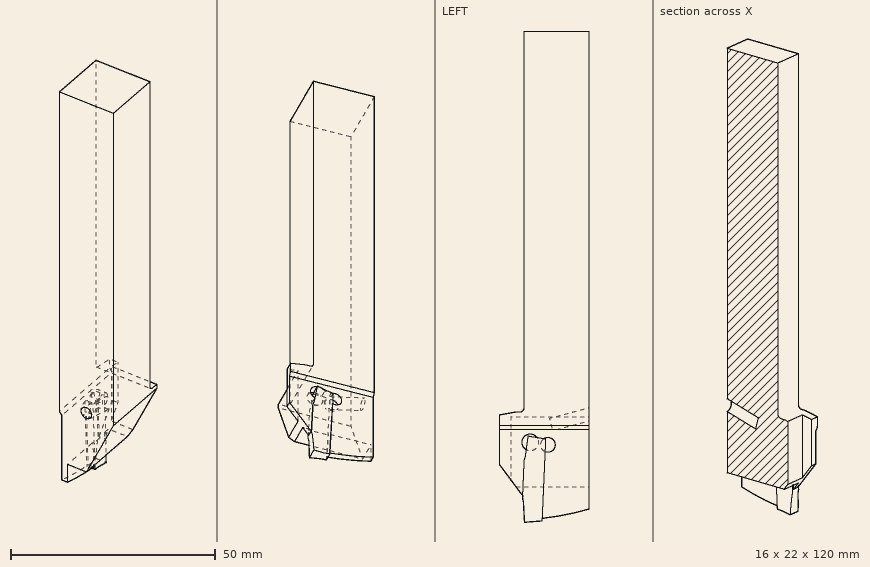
import cadquery as cq
import math

LENGTH = 120.0
SHANK_SIDE = 16.0
DEPTH = 22.0
LEDGE_Y = 19.1
LEDGE_Z = 27.0
LEDGE_FLAT_Y = 18.0
LEDGE_DROP = 0.7
LEDGE_FILLET = 1.0
BODY_BOTTOM_Z = 8.6
BODY_BOTTOM_X = 8.0
SLOPE_TOP_Z = 25.8

BLADE_X = 2.4
STEP_DEPTH = 0.7
STEP_TOP_Z = 23.6
STEP_BOTTOM_Z = 22.7
BLADE_BACK_Z = 14.2
JAW_TIP_Y = 16.7
JAW_TIP_Z = 7.1
BLADE_FRONT_Z = 3.2
BLADE_ARC_MID = (5.4, 1.9)
SEAT_TIP = (11.5, 1.0)

INSERT_LENGTH = 21.1
INSERT_TILT = 2.5
TIP_Y = 15.8
HEAD_WIDTH = 3.1
INSERT_WIDTH = 2.4
SEAT_OFFSET = 4.3
CLAMP_OFFSET = 0.7
HEAD_LENGTH = 5.0
RAKE_RISE = 0.5
NOTCH_LENGTH = 5.9
END_RELIEF = 7.0
HEAD_DEPTH_TIP = 2.6
HEAD_DEPTH_BACK = 1.5
HEAD_BACK_WIDTH = 2.6
HEAD_SHOULDER = 4.0

RELIEFS = [(14.4, 19.5, 2.0), (10.1, 19.0, 1.8)]

HOLE_X = SHANK_SIDE / 2
HOLE_Z = 26.4
HOLE_RADIUS = 1.5
HOLE_TILT = 15.0
HOLE_DEPTH = 9.6


def head_plate(thickness):
    """Plate with the full side outline of the head, from X = 0 to the given thickness."""
    return (
        cq.Workplane("YZ")
        .moveTo(0, LEDGE_Z + LEDGE_FILLET)
        .lineTo(SHANK_SIDE, LEDGE_Z + LEDGE_FILLET)
        .radiusArc((SHANK_SIDE + LEDGE_FILLET, LEDGE_Z), -LEDGE_FILLET)
        .lineTo(LEDGE_FLAT_Y, LEDGE_Z)
        .lineTo(DEPTH, LEDGE_Z - LEDGE_DROP)
        .lineTo(DEPTH, BLADE_BACK_Z)
        .lineTo(JAW_TIP_Y, JAW_TIP_Z)
        .lineTo(*SEAT_TIP)
        .threePointArc(BLADE_ARC_MID, (0, BLADE_FRONT_Z))
        .close()
        .extrude(thickness)
    )


def head_block():
    """Shank and thick head, with the sloped side and the bottom face."""
    side = (
        cq.Workplane("XZ")
        .polyline([
            (0, LENGTH), (SHANK_SIDE, LENGTH), (SHANK_SIDE, SLOPE_TOP_Z),
            (BODY_BOTTOM_X, BODY_BOTTOM_Z), (0, BODY_BOTTOM_Z),
        ])
        .close()
        .extrude(-LEDGE_Y)
    )
    shank = cq.Workplane("XY").box(SHANK_SIDE, SHANK_SIDE, LENGTH, centered=False)
    return side.intersect(shank.union(head_plate(SHANK_SIDE)))


def outer_step():
    """Material removed from the shank side to set the blade in."""
    return (
        cq.Workplane("XZ")
        .polyline([(0, STEP_TOP_Z), (STEP_DEPTH, STEP_BOTTOM_Z), (STEP_DEPTH, 0), (0, 0)])
        .close()
        .extrude(-DEPTH)
    )


def reliefs():
    """Cutters for the round reliefs, as deep as the insert head is wide."""
    cutters = cq.Workplane("YZ")
    for y, z, radius in RELIEFS:
        cutters = cutters.union(cq.Workplane("YZ").center(y, z).circle(radius).extrude(HEAD_WIDTH))
    return cutters


def angled_hole():
    """Cutter for the blind hole, whose axis passes through the plain face and falls towards +Y."""
    hole = cq.Workplane("XZ").circle(HOLE_RADIUS).extrude(2 * HOLE_DEPTH).translate((0, HOLE_DEPTH, 0))
    return hole.rotate((0, 0, 0), (1, 0, 0), -HOLE_TILT).translate((HOLE_X, 0, HOLE_Z))


def place_insert(shape):
    """Tilt a shape from the insert frame and move it to the tip, with its widest side at X = 0."""
    return shape.rotate((0, 0, 0), (1, 0, 0), INSERT_TILT).translate((HEAD_WIDTH / 2, TIP_Y, 0))


def insert_head():
    """Tapered cutting head, widest at the tip edge and narrowing down to the insert sides."""
    def section(width, depth):
        return [
            (-width / 2, RAKE_RISE), (width / 2, RAKE_RISE), (width / 2, 0),
            (INSERT_WIDTH / 2, -depth), (-INSERT_WIDTH / 2, -depth), (-width / 2, 0),
        ]
    flanks = (
        cq.Workplane("XY")
        .polyline(section(HEAD_WIDTH, HEAD_DEPTH_TIP))
        .close()
        .workplane(offset=HEAD_LENGTH)
        .polyline(section(HEAD_BACK_WIDTH, HEAD_DEPTH_BACK))
        .close()
        .loft(ruled=True)
    )
    shoulder_outline = (
        cq.Workplane("XZ")
        .polyline([
            (-HEAD_WIDTH / 2, 0), (HEAD_WIDTH / 2, 0),
            (HEAD_WIDTH / 2, HEAD_LENGTH - HEAD_SHOULDER), (INSERT_WIDTH / 2, HEAD_LENGTH),
            (-INSERT_WIDTH / 2, HEAD_LENGTH), (-HEAD_WIDTH / 2, HEAD_LENGTH - HEAD_SHOULDER),
        ])
        .close()
        .extrude(SEAT_OFFSET, both=True)
    )
    return flanks.intersect(shoulder_outline)


def make_insert():
    """Double-ended insert: a plate with a wider cutting head at both ends."""
    relief_rise = SEAT_OFFSET * math.tan(math.radians(END_RELIEF))
    lower_half = [
        (-SEAT_OFFSET, relief_rise), (0, 0), (RAKE_RISE, HEAD_LENGTH), (CLAMP_OFFSET, NOTCH_LENGTH),
    ]
    upper_half = [(y, INSERT_LENGTH - z) for y, z in reversed(lower_half)]
    profile = cq.Workplane("YZ").polyline(lower_half + upper_half).close().extrude(HEAD_WIDTH / 2, both=True)
    core_depth = SEAT_OFFSET + CLAMP_OFFSET
    core = (
        cq.Workplane("XY")
        .box(INSERT_WIDTH, core_depth, INSERT_LENGTH, centered=(True, False, False))
        .translate((0, -SEAT_OFFSET, 0))
    )
    lower_head = insert_head()
    upper_head = lower_head.mirror("XY").translate((0, 0, INSERT_LENGTH))
    return place_insert(profile.intersect(core.union(lower_head).union(upper_head)))


def make_holder(insert):
    """Shank, head and blade in one piece, with a pocket that matches the insert."""
    holder = head_block().union(head_plate(BLADE_X))
    return holder.cut(outer_step()).cut(reliefs()).cut(angled_hole()).cut(insert)


insert = make_insert()
holder = make_holder(insert)
result = cq.Compound.makeCompound([holder.val(), insert.val()])